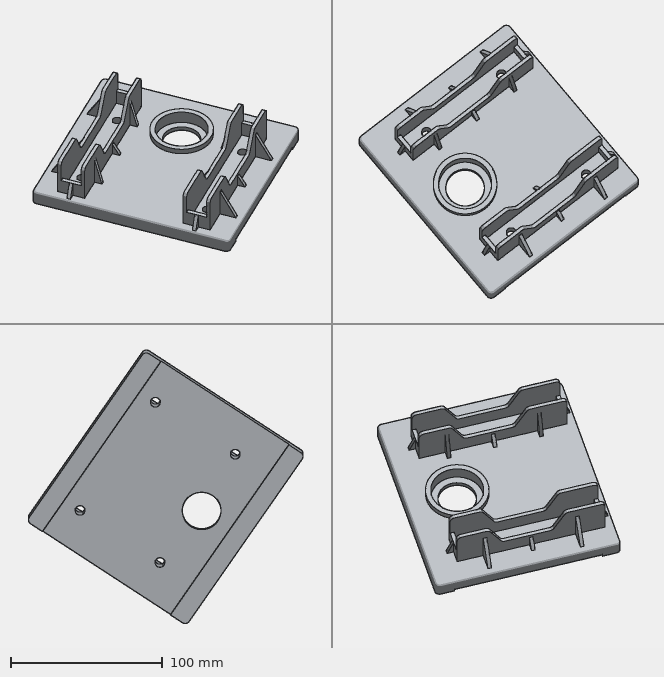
import cadquery as cq

plate_length = 139.7
plate_width = 127.0
plate_height = 9.5
plate_corner_radius = 3.2
plate_top_radius = 1.7

relief_width = 101.5
relief_depth = 1.5

ring_y = 28.5
ring_height = 3.8
ring_diameter = 41.9
ring_bore_diameter = 34.9
ring_bore_floor = 4.5
through_bore_diameter = 25.4

total_height = 34.9
cradle_offset_x = 44.4
cradle_center_y = -6.4
cradle_length = 101.5
cradle_width = 19.1
wall_thickness = 2.5
end_wall_thickness = 2.8
saddle_height = 19.5
trough_floor = plate_height
wall_corner_radius = 3.2

dip_center_y = -3.9
dip_top_width = 52.8
dip_bottom_width = 34.5

mount_hole_diameter = 6.4
mount_hole_spacing = 63.4

rib_thickness = 2.5
tall_rib_top = 28.2
tall_rib_outer_reach = 11.3
short_rib_top = 17.3
short_rib_reach = 5.2
end_rib_top = saddle_height
end_rib_reach = 4.5


def make_plate():
    plate = (
        cq.Workplane("XY")
        .box(plate_length, plate_width, plate_height, centered=(True, True, False))
        .edges("|Z").fillet(plate_corner_radius)
        .faces(">Z").edges().fillet(plate_top_radius)
    )
    relief = cq.Workplane("XY").box(plate_length, relief_width, relief_depth, centered=(True, True, False))
    return plate.cut(relief)


def vertical_cylinder(x, y, diameter, bottom, top):
    return cq.Workplane("XY", origin=(x, y, bottom)).circle(diameter / 2).extrude(top - bottom)


def make_cradle():
    """Trough centred on X = 0, with dipped side walls and lower end walls."""
    back = cradle_center_y + cradle_length / 2
    front = cradle_center_y - cradle_length / 2
    side_profile = [
        (front, plate_height),
        (front, total_height),
        (dip_center_y - dip_top_width / 2, total_height),
        (dip_center_y - dip_bottom_width / 2, saddle_height),
        (dip_center_y + dip_bottom_width / 2, saddle_height),
        (dip_center_y + dip_top_width / 2, total_height),
        (back, total_height),
        (back, plate_height),
    ]
    walls = (
        cq.Workplane("YZ")
        .polyline(side_profile).close()
        .extrude(cradle_width / 2, both=True)
        .edges("|X and (not <Z)").fillet(wall_corner_radius)
    )
    inner_width = cradle_width - 2 * wall_thickness
    trough = (
        cq.Workplane("XY", origin=(0, cradle_center_y, trough_floor))
        .box(inner_width, cradle_length - 2 * end_wall_thickness, total_height, centered=(True, True, False))
    )
    open_ends = (
        cq.Workplane("XY", origin=(0, cradle_center_y, saddle_height))
        .box(inner_width, cradle_length, total_height, centered=(True, True, False))
    )
    return walls.cut(trough).cut(open_ends)


def make_rib(x, y, direction, reach, top):
    """Triangular rib whose upright edge stands at (x, y) and whose foot points along direction (degrees)."""
    return (
        cq.Workplane("XZ")
        .polyline([(0, plate_height), (reach, plate_height), (0, top)]).close()
        .extrude(rib_thickness / 2, both=True)
        .rotate((0, 0, 0), (0, 0, 1), direction)
        .translate((x, y, 0))
    )


def add_ring(body):
    """Raise the ring on the plate and cut its stepped bore."""
    ring_top = plate_height + ring_height
    ring = vertical_cylinder(0, ring_y, ring_diameter, plate_height, ring_top)
    counterbore = vertical_cylinder(0, ring_y, ring_bore_diameter, ring_bore_floor, ring_top)
    through_bore = vertical_cylinder(0, ring_y, through_bore_diameter, 0, ring_top)
    return body.union(ring).cut(counterbore).cut(through_bore)


result = add_ring(make_plate())
cradle = make_cradle()
mount_hole_ys = [cradle_center_y + sign * mount_hole_spacing / 2 for sign in (-1, 1)]

for side in (-1, 1):
    cradle_x = side * cradle_offset_x
    outer_x = cradle_x + side * cradle_width / 2
    inner_x = cradle_x - side * cradle_width / 2
    outward = 0 if side > 0 else 180
    inward = 180 - outward

    result = result.union(cradle.translate((cradle_x, 0, 0)))

    for y in mount_hole_ys:
        result = result.union(make_rib(outer_x, y, outward, tall_rib_outer_reach, tall_rib_top))
        result = result.union(make_rib(inner_x, y, inward, short_rib_reach, tall_rib_top))
    result = result.union(make_rib(outer_x, cradle_center_y, outward, short_rib_reach, short_rib_top))
    result = result.union(make_rib(inner_x, cradle_center_y, inward, short_rib_reach, short_rib_top))

    for end in (-1, 1):
        end_y = cradle_center_y + end * cradle_length / 2
        result = result.union(make_rib(cradle_x, end_y, end * 90, end_rib_reach, end_rib_top))

    for y in mount_hole_ys:
        result = result.cut(vertical_cylinder(cradle_x, y, mount_hole_diameter, 0, saddle_height))